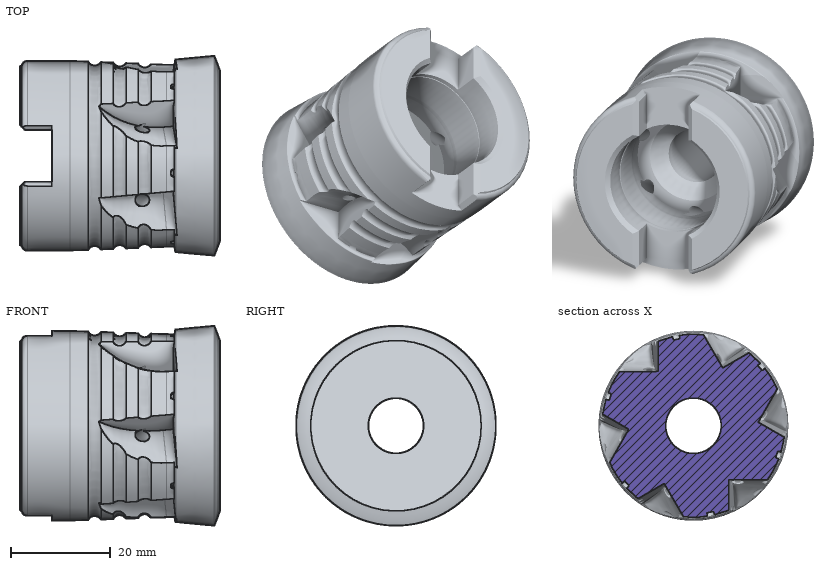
import cadquery as cq
import math

length = 40.04

face_radius = 17.9
bevel_length = 0.4
bevel_radius = 18.1
nose_length = 1.5
nose_radius = 1.15
shank_radius = 19.0
taper_start = 10.0
taper_end = 29.25
land_end_radius = 18.35

groove_first = 14.95
groove_pitch = 5.0
groove_count = 3
groove_radius = 1.5
groove_depth = 0.75

flange_start = 31.05
flange_start_radius = 19.28
flange_peak = 38.9
flange_radius = 20.02
end_face_radius = 17.05
flange_back_slope = math.radians(9.0)
flange_fillet = 0.2

bore_entry_diameter = 22.3
bore_entry_depth = 7.45
bore_pilot_diameter = 22.0
bore_pilot_end = 15.3
bore_relief_diameter = 22.15
bore_relief_start = 16.3
bore_depth = 19.8
bore_chamfer_diameter = 24.0
bore_chamfer_depth = 1.0
countersink_diameter = 17.0
through_diameter = 11.0

slot_width = 10.3
slot_depth = 6.4
slot_face_chamfer = 1.02
slot_rim_chamfer = 0.9

flute_count = 6
flute_floor = 10.82
flute_lowest_x = 28.0
flute_arc_end = 28.6
flute_arc_radius = 16.5
flute_end = 30.65
flute_tilt = 5.15
flute_wall_offset = -7.3

coolant_diameter = 2.5
coolant_exit_x = 24.4
coolant_exit_y = -8.87
coolant_exit_z = 11.21
coolant_tilt = math.radians(45.0)
coolant_inner_length = 9.0
coolant_outer_length = 6.0

notch_diameter = 1.6
notch_x = 30.95
notch_depth = 0.7
notch_angle = 41.0


def turned(outline):
    return outline.close().revolve(360, (0, 0, 0), (1, 0, 0))


def land_radius(x):
    slope = (land_end_radius - shank_radius) / (taper_end - taper_start)
    return shank_radius + slope * (x - taper_start)


def shank():
    return turned(
        cq.Workplane("XY")
        .lineTo(0, face_radius)
        .lineTo(bevel_length, bevel_radius)
        .radiusArc((nose_length, shank_radius), nose_radius)
        .lineTo(taper_start, shank_radius)
        .lineTo(taper_end, land_end_radius)
        .lineTo(flange_peak, land_end_radius)
        .lineTo(flange_peak, 0)
    )


def flange():
    core_x = flange_start - flange_start_radius * math.tan(flange_back_slope)
    solid = turned(
        cq.Workplane("XY")
        .moveTo(core_x, 0)
        .lineTo(flange_start, flange_start_radius)
        .lineTo(flange_peak, flange_radius)
        .lineTo(length, end_face_radius)
        .lineTo(length, 0)
    )
    corners = cq.selectors.RadiusNthSelector(1) + cq.selectors.RadiusNthSelector(2)
    return solid.edges(corners).fillet(flange_fillet)


def grooves():
    rings = cq.Workplane("XY")
    for i in range(groove_count):
        x = groove_first + i * groove_pitch
        center_radius = land_radius(x) - groove_depth + groove_radius
        center = cq.Vector(x, 0, 0)
        rings = rings.add(cq.Solid.makeTorus(center_radius, groove_radius, center, cq.Vector(1, 0, 0)))
    return rings


def around(cutter):
    step = 360 / flute_count
    copies = [cutter.rotate((0, 0, 0), (1, 0, 0), i * step) for i in range(flute_count)]
    return cq.Workplane("XY").newObject([c.val() for c in copies])


def flute(end):
    center_z = flute_floor + flute_arc_radius
    exit_angle = math.asin((flute_arc_end - flute_lowest_x) / flute_arc_radius)
    arc_end_z = center_z - flute_arc_radius * math.cos(exit_angle)
    pivot = (flute_arc_end, flute_wall_offset, 0)
    end_z = arc_end_z + (end - flute_arc_end) * math.tan(exit_angle)
    return (
        cq.Workplane("XZ")
        .moveTo(flute_lowest_x - flute_arc_radius, center_z)
        .radiusArc((flute_arc_end, arc_end_z), -flute_arc_radius)
        .lineTo(end, end_z)
        .lineTo(end, center_z)
        .close()
        .extrude(shank_radius)
        .translate((0, flute_wall_offset, 0))
        .rotate(pivot, (*pivot[:2], 1), flute_tilt)
    )


def coolant_hole():
    exit_point = cq.Vector(coolant_exit_x, coolant_exit_y, coolant_exit_z)
    axis = cq.Vector(math.sin(coolant_tilt), 0, math.cos(coolant_tilt))
    start = exit_point - axis * coolant_inner_length
    total_length = coolant_inner_length + coolant_outer_length
    return cq.Workplane(cq.Solid.makeCylinder(coolant_diameter / 2, total_length, start, axis))


def notch():
    return (
        cq.Workplane("XY")
        .workplane(offset=land_end_radius - notch_depth)
        .center(notch_x, 0)
        .circle(notch_diameter / 2)
        .extrude(2 * notch_depth)
        .rotate((0, 0, 0), (1, 0, 0), notch_angle - 90)
    )


def bore():
    countersink_end = bore_depth + (countersink_diameter - through_diameter) / 2
    return turned(
        cq.Workplane("XY")
        .lineTo(0, bore_chamfer_diameter / 2)
        .lineTo(bore_chamfer_depth, bore_entry_diameter / 2)
        .lineTo(bore_entry_depth, bore_entry_diameter / 2)
        .lineTo(bore_entry_depth, bore_pilot_diameter / 2)
        .lineTo(bore_pilot_end, bore_pilot_diameter / 2)
        .lineTo(bore_relief_start, bore_relief_diameter / 2)
        .lineTo(bore_depth, bore_relief_diameter / 2)
        .lineTo(bore_depth, countersink_diameter / 2)
        .lineTo(countersink_end, through_diameter / 2)
        .lineTo(length, through_diameter / 2)
        .lineTo(length, 0)
    )


def slot():
    half = slot_width / 2
    reach = flange_radius
    rim_y = half + slot_rim_chamfer
    rim_z = math.sqrt(shank_radius**2 - rim_y**2) - slot_rim_chamfer
    quarter = (
        cq.Workplane("YZ")
        .lineTo(half, 0)
        .lineTo(half, rim_z)
        .lineTo(half + reach - rim_z, reach)
        .lineTo(0, reach)
        .close()
        .extrude(slot_depth)
    )
    upper = quarter.union(quarter.mirror("XZ"))
    channel = upper.union(upper.mirror("XY"))
    face_bevel = (
        cq.Workplane("XY")
        .moveTo(0, -half - slot_face_chamfer)
        .lineTo(slot_face_chamfer, -half)
        .lineTo(slot_face_chamfer, half)
        .lineTo(0, half + slot_face_chamfer)
        .close()
        .extrude(reach, both=True)
    )
    return channel.union(face_bevel)


body = shank().cut(grooves()).cut(around(flute(length))).cut(around(notch()))
body = body.union(flange()).cut(around(flute(flute_end)))
result = body.cut(bore()).cut(slot()).cut(around(coolant_hole()))